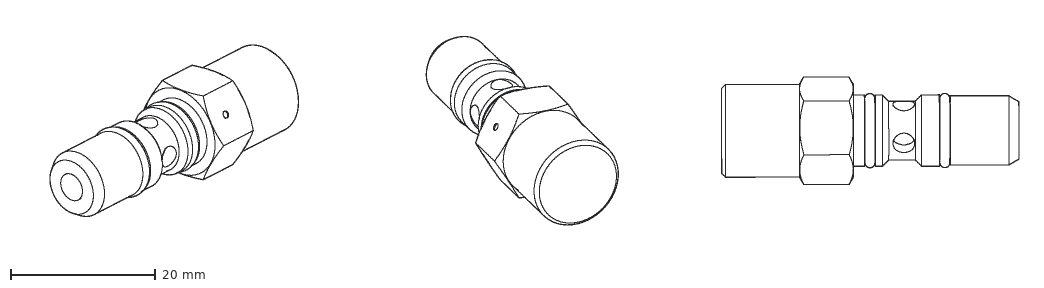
import cadquery as cq
import math

total_length = 41.3

pin_radius = 4.83
tip_radius = 4.0
tip_chamfer_length = 1.4
bore_diameter = 4.0
bore_depth = 10.0

land_radius = 4.97
neck_radius = 4.1
neck_start = 14.4
neck_end = 18.1
neck_chamfer = land_radius - neck_radius

groove_width = 1.5
groove_floor_radius = 3.9
front_groove_start = 9.55
rear_groove_start = 19.95
ring_section_radius = 0.7
ring_outer_radius = 5.17

cross_hole_diameter = 3.0
cross_hole_position = 16.0
cross_hole_count = 4
core_radius = 2.0

barrel_radius = 6.45
barrel_chamfer = 0.55

hex_sides = 6
hex_start = 23.0
hex_length = 7.5
hex_end = hex_start + hex_length
hex_across_flats = 13.0
hex_across_corners = hex_across_flats / math.cos(math.pi / hex_sides)
hex_chamfer_radius = barrel_radius
hex_chamfer_angle = 30.0

mark_diameter = 1.0
mark_depth = 0.2
mark_position = 26.25
mark_tilt = 360 / hex_sides


def cylinder_y(radius, start, end):
    """Cylinder on the Y axis between two Y positions."""
    return cq.Workplane("XZ", origin=(0, start, 0)).circle(radius).extrude(start - end)


def revolve_profile(points):
    """Turn a closed (radius, Y) outline around the Y axis."""
    return cq.Workplane("XY").polyline(points).close().revolve(360, (0, 0, 0), (0, 1, 0))


def make_stem():
    """Turned body from tip to rear end, with the blind bore in the tip."""
    front_groove_middle = front_groove_start + groove_width / 2
    stem = revolve_profile([
        (0, 0),
        (tip_radius, 0),
        (pin_radius, tip_chamfer_length),
        (pin_radius, front_groove_middle),
        (land_radius, front_groove_middle),
        (land_radius, neck_start - neck_chamfer),
        (neck_radius, neck_start),
        (neck_radius, neck_end),
        (land_radius, neck_end + neck_chamfer),
        (land_radius, hex_start),
        (barrel_radius, hex_start),
        (barrel_radius, total_length - barrel_chamfer),
        (barrel_radius - barrel_chamfer, total_length),
        (0, total_length),
    ])
    bore = cylinder_y(bore_diameter / 2, 0, bore_depth)
    return stem.cut(bore)


def make_hexagon():
    """Hexagonal prism with corners on the X axis and both ends chamfered."""
    prism = (
        cq.Workplane("XZ", origin=(0, hex_start, 0))
        .polygon(hex_sides, hex_across_corners)
        .extrude(-hex_length)
    )
    corner_radius = hex_across_corners / 2
    chamfer_length = (corner_radius - hex_chamfer_radius) * math.tan(math.radians(hex_chamfer_angle))
    envelope = revolve_profile([
        (0, hex_start),
        (hex_chamfer_radius, hex_start),
        (corner_radius, hex_start + chamfer_length),
        (corner_radius, hex_end - chamfer_length),
        (hex_chamfer_radius, hex_end),
        (0, hex_end),
    ])
    return prism.intersect(envelope)


def add_o_ring(body, groove_start):
    """Cut a groove into the body and seat an O-ring in the middle of it."""
    groove_end = groove_start + groove_width
    groove = cylinder_y(ring_outer_radius, groove_start, groove_end).cut(
        cylinder_y(groove_floor_radius, groove_start, groove_end)
    )
    ring_centre_radius = ring_outer_radius - ring_section_radius
    ring_centre_position = groove_start + groove_width / 2
    ring = (
        cq.Workplane("XY")
        .moveTo(-ring_centre_radius, ring_centre_position)
        .circle(ring_section_radius)
        .revolve(360, (0, 0, 0), (0, 1, 0))
    )
    return body.cut(groove).union(ring)


def make_cross_holes():
    """Evenly spaced radial holes that stop at the surface of the core."""
    hole = (
        cq.Workplane("XY", origin=(0, cross_hole_position, 0))
        .circle(cross_hole_diameter / 2)
        .extrude(land_radius)
    )
    holes = cq.Workplane("XY")
    for index in range(cross_hole_count):
        angle = index * 360 / cross_hole_count
        holes = holes.add(hole.rotate((0, 0, 0), (0, 1, 0), angle))
    core = cylinder_y(
        core_radius,
        cross_hole_position - cross_hole_diameter,
        cross_hole_position + cross_hole_diameter,
    )
    return holes.combine().cut(core)


def make_mark():
    """Shallow round recess in the flat facing +X and +Z."""
    return (
        cq.Workplane("XY", origin=(0, mark_position, 0))
        .workplane(offset=hex_across_flats / 2 - mark_depth)
        .circle(mark_diameter / 2)
        .extrude(mark_depth)
        .rotate((0, 0, 0), (0, 1, 0), mark_tilt)
    )


body = make_stem().union(make_hexagon())
for groove_position in (front_groove_start, rear_groove_start):
    body = add_o_ring(body, groove_position)
result = body.cut(make_cross_holes()).cut(make_mark())